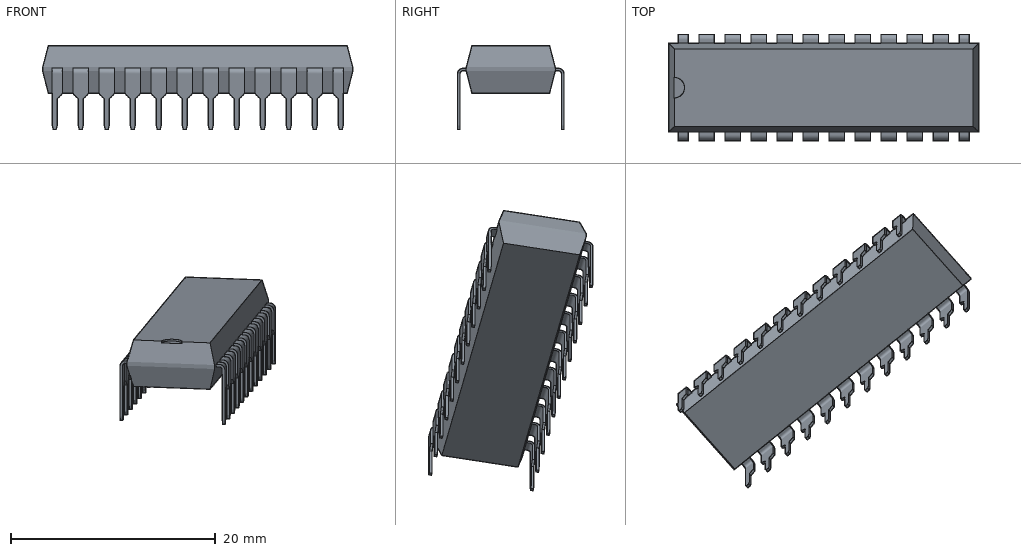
import cadquery as cq

body_length = 30.3
body_width = 8.7
taper_inset = 0.55
body_bottom_z = 3.55
band_bottom_z = 5.7
band_top_z = 6.1
body_top_z = 8.2

notch_radius = 1.0
notch_depth = 0.18

pins_per_row = 12
pitch = 2.54
row_span = 10.41
lead_thickness = 0.26
lead_top_z = 6.0
bend_outer_radius = 0.55
shoulder_width = 1.52
leg_width = 0.5
shoulder_taper_bottom_z = 3.0
shoulder_taper_height = (shoulder_width - leg_width) / 2
tip_inset = 0.1
tip_height = 0.4
lead_embedment = 0.5


def tapered_half(base_z, end_z):
    """Frustum from the parting band outline at base_z to the smaller face at end_z."""
    end_length = body_length - 2 * taper_inset
    end_width = body_width - 2 * taper_inset
    return (
        cq.Workplane("XY", origin=(0, 0, base_z))
        .rect(body_length, body_width)
        .workplane(offset=end_z - base_z)
        .rect(end_length, end_width)
        .loft(ruled=True)
    )


def make_body():
    band_height = band_top_z - band_bottom_z
    band = (
        cq.Workplane("XY", origin=(0, 0, band_bottom_z))
        .rect(body_length, body_width)
        .extrude(band_height)
    )
    upper = tapered_half(band_top_z, body_top_z)
    lower = tapered_half(band_bottom_z, body_bottom_z)
    top_edge_x = -body_length / 2 + taper_inset
    notch = (
        cq.Workplane("XY", origin=(top_edge_x, 0, body_top_z))
        .circle(notch_radius)
        .extrude(-notch_depth)
    )
    return band.union(upper).union(lower).cut(notch)


def bent_strip():
    """Full-length strip of sheet for the -Y row: flat out of the body, then bent down."""
    outer_y = -row_span / 2
    inner_y = outer_y + lead_thickness
    root_y = -body_width / 2 + lead_embedment
    lead_bottom_z = lead_top_z - lead_thickness
    bend_inner_radius = bend_outer_radius - lead_thickness
    bend_y = outer_y + bend_outer_radius
    bend_z = lead_top_z - bend_outer_radius
    return (
        cq.Workplane("YZ", origin=(-body_length / 2, 0, 0))
        .moveTo(outer_y, 0)
        .lineTo(outer_y, bend_z)
        .radiusArc((bend_y, lead_top_z), bend_outer_radius)
        .lineTo(root_y, lead_top_z)
        .lineTo(root_y, lead_bottom_z)
        .lineTo(bend_y, lead_bottom_z)
        .radiusArc((inner_y, bend_z), -bend_inner_radius)
        .lineTo(inner_y, 0)
        .close()
        .extrude(body_length)
    )


def lead_prism(x, left_shoulder, right_shoulder):
    """Prism with the outline of one lead; the shoulders are half widths either side of x."""
    half_leg = leg_width / 2
    half_tip = half_leg - tip_inset
    taper_top_z = shoulder_taper_bottom_z + shoulder_taper_height
    points = [
        (x - half_tip, 0),
        (x + half_tip, 0),
        (x + half_leg, tip_height),
        (x + half_leg, shoulder_taper_bottom_z),
    ]
    if right_shoulder > half_leg:
        points.append((x + right_shoulder, taper_top_z))
    points.append((x + right_shoulder, lead_top_z))
    points.append((x - left_shoulder, lead_top_z))
    if left_shoulder > half_leg:
        points.append((x - left_shoulder, taper_top_z))
    points.append((x - half_leg, shoulder_taper_bottom_z))
    points.append((x - half_leg, tip_height))
    return (
        cq.Workplane("XZ")
        .polyline(points)
        .close()
        .extrude(row_span)
    )


def make_lead_row():
    """The -Y row; the end leads have no shoulder on their outward side."""
    strip = bent_strip()
    first_x = -(pins_per_row - 1) * pitch / 2
    leads = []
    for index in range(pins_per_row):
        left_shoulder = leg_width / 2 if index == 0 else shoulder_width / 2
        right_shoulder = leg_width / 2 if index == pins_per_row - 1 else shoulder_width / 2
        prism = lead_prism(first_x + index * pitch, left_shoulder, right_shoulder)
        leads.append(prism.intersect(strip))
    return leads


result = make_body()
for lead in make_lead_row():
    result = result.union(lead).union(lead.mirror("XZ"))